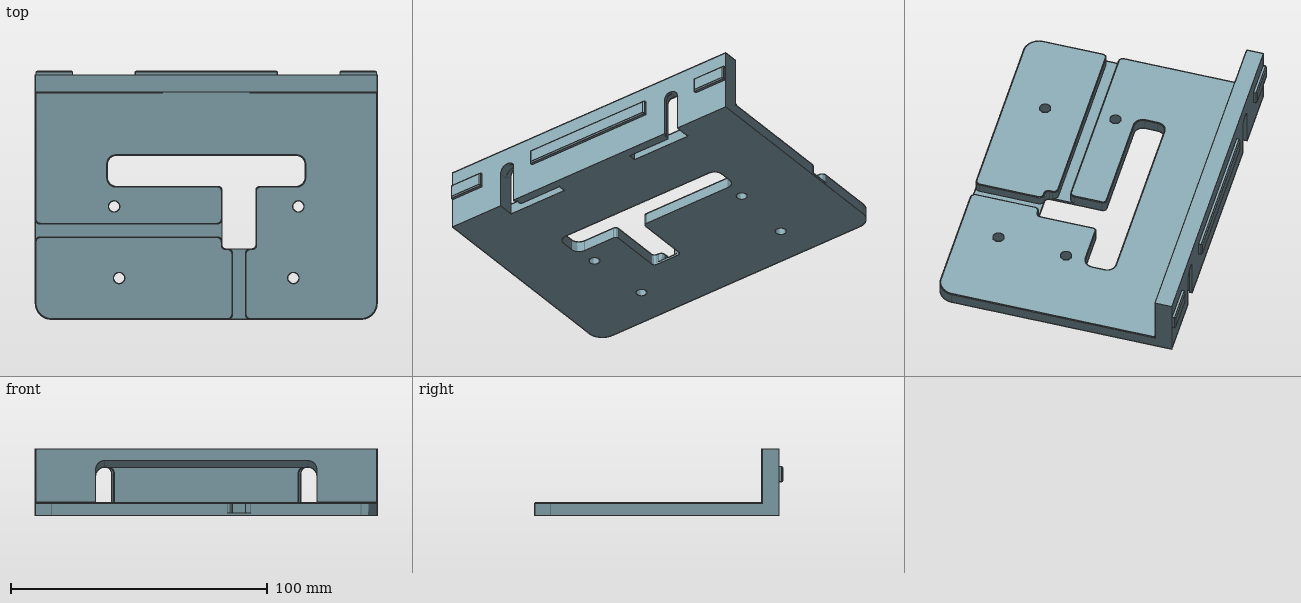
import cadquery as cq

width = 133.31
wall_back_y = 95.31
wall_thickness = 6.8
wall_height = 26.0
plate_thickness = 5.0
corner_radius = 6.3
edge_break = 0.3
wall_front_y = wall_back_y - wall_thickness

bar_length = 77.0
bar_front_y = 51.8
bar_back_y = 63.9
bar_corner_radius = 3.5
stem_x = 12.75
stem_width = 13.2
stem_front_y = 27.5
stem_corner_radius = 1.5

groove_width = 5.0
groove_floor_z = 1.0
groove_mouth_radius = 1.9
side_groove_y = 34.65

hole_diameter = 4.3
hole_positions = [(35.9, 44.0), (33.95, 16.1)]

pocket_width = 86.2
pocket_depth = 3.2
pocket_corner_radius = 3.5
slot_width = 6.2
slot_inner_radius = 2.5
slot_top_z = 18.8
ceiling_rise = 2.6
panel_thickness = 2.4
ledge_width = 0.8
panel_y = wall_front_y + pocket_depth
tab_width = 34.2

rail_height = 1.5
rail_bottom_z = 13.1
rail_top_z = 19.1
rail_chamfer = 0.5
center_rail_length = 55.5
end_rail_length = 14.3
end_rail_inset = 0.3


def box(x_range, y_range, z_range):
    """Axis-aligned block between the given limits."""
    (x0, x1), (y0, y1), (z0, z1) = x_range, y_range, z_range
    return cq.Workplane("XY").box(x1 - x0, y1 - y0, z1 - z0, centered=False).translate((x0, y0, z0))


def upright_edge_at(x, y):
    """Selector for the vertical plate edge standing at (x, y)."""
    reach = edge_break / 2
    return cq.selectors.BoxSelector((x - reach, y - reach, 0), (x + reach, y + reach, plate_thickness))


def window_cutter():
    """T-shaped opening; its inner corners, where the stem leaves the bar, are rounded too."""
    bar = box((-bar_length / 2, bar_length / 2), (bar_front_y, bar_back_y), (0, plate_thickness))
    bar = bar.edges("|Z").fillet(bar_corner_radius)
    stem_x_range = (stem_x - stem_width / 2, stem_x + stem_width / 2)
    stem = box(stem_x_range, (stem_front_y, bar_back_y - bar_corner_radius), (0, plate_thickness))
    stem = stem.edges("|Z and <Y").fillet(stem_corner_radius)
    window = bar.union(stem)
    for x in stem_x_range:
        window = window.edges(upright_edge_at(x, bar_front_y)).fillet(stem_corner_radius)
    return window


def plate():
    """Base plate split into lands by the window and grooves, with broken top edges.

    It reaches under the wall so that its broken back edge is buried there.
    """
    half_width = width / 2
    half_groove = groove_width / 2
    stem_left = stem_x - stem_width / 2
    side_groove_edges = (side_groove_y - half_groove, side_groove_y + half_groove)
    front_groove_edges = (stem_x - half_groove, stem_x + half_groove)

    outline = box((-half_width, half_width), (0, panel_y), (0, plate_thickness))
    outline = outline.edges("|Z and <Y").fillet(corner_radius).cut(window_cutter())
    groove_z = (groove_floor_z, plate_thickness)
    side_groove = box((-half_width, stem_left + stem_corner_radius), side_groove_edges, groove_z)
    front_groove = box(front_groove_edges, (0, stem_front_y + stem_corner_radius), groove_z)
    grooved = outline.cut(side_groove).cut(front_groove)

    mouth_corners = [(x, y) for x in (-half_width, stem_left) for y in side_groove_edges]
    mouth_corners += [(x, y) for x in front_groove_edges for y in (0, stem_front_y)]
    for x, y in mouth_corners:
        grooved = grooved.edges(upright_edge_at(x, y)).fillet(groove_mouth_radius)
    return grooved.faces(">Z").edges().chamfer(edge_break)


def wall():
    """Upright wall with its front side edges broken."""
    block = box((-width / 2, width / 2), (wall_front_y, wall_back_y), (0, wall_height))
    return block.edges("|Z and <Y").chamfer(edge_break)


def arch_wire(x0, x1, top_z, y, left_radius, right_radius):
    """Closed upright outline in the plane at y, standing on z = 0, with rounded top corners."""
    outline = cq.Workplane("XZ", origin=(0, y, 0)).moveTo(x0, 0).lineTo(x0, top_z - left_radius)
    outline = outline.radiusArc((x0 + left_radius, top_z), left_radius)
    outline = outline.lineTo(x1 - right_radius, top_z)
    outline = outline.radiusArc((x1, top_z - right_radius), right_radius)
    return outline.lineTo(x1, 0).close().val()


def wall_root():
    """Small sloped filler in the inside corner of plate and wall, on the -X side of the pocket."""
    return (
        cq.Workplane("YZ", origin=(-width / 2, 0, 0))
        .moveTo(wall_front_y - edge_break, plate_thickness)
        .lineTo(wall_front_y, plate_thickness + edge_break)
        .lineTo(wall_front_y, plate_thickness)
        .close()
        .extrude((width - pocket_width) / 2)
    )


def pocket_cutter():
    """Pocket in the wall front; its ceiling slopes down toward the panel."""
    half = pocket_width / 2
    radius = pocket_corner_radius
    front = arch_wire(-half, half, slot_top_z + ceiling_rise, wall_front_y, radius, radius)
    inward_slope = cq.Vector(0, pocket_depth, -ceiling_rise)
    pocket = cq.Workplane(cq.Solid.extrudeLinear(front, [], inward_slope))
    tab = box((-tab_width / 2, tab_width / 2), (wall_front_y, panel_y), (0, plate_thickness))
    return pocket.cut(tab)


def gap_edges():
    """Selector for the plate's top edges along the gap, on both sides of the tab."""
    half = pocket_width / 2 + edge_break / 2
    reach = edge_break / 2
    return cq.selectors.BoxSelector(
        (-half, wall_front_y - reach, plate_thickness - reach),
        (half, wall_front_y + reach, plate_thickness + reach),
    )


def slot_cutter():
    """Through slot at the -X end of the pocket.

    Behind the panel it is narrower, which leaves a ledge along the panel side;
    the front edge of the panel is broken.
    """
    outer_x = -pocket_width / 2
    throat_x = outer_x + slot_width
    mouth_x = throat_x + ledge_width

    def slot_outline(inner_x, y):
        return arch_wire(outer_x, inner_x, slot_top_z, y, pocket_corner_radius, slot_inner_radius)

    def passage(inner_x, y_start, y_end):
        outline = slot_outline(inner_x, y_start)
        return cq.Workplane(cq.Solid.extrudeLinear(outline, [], cq.Vector(0, y_end - y_start, 0)))

    lip_outlines = [
        slot_outline(mouth_x + edge_break, panel_y),
        slot_outline(mouth_x, panel_y + edge_break),
    ]
    lip = cq.Workplane(cq.Solid.makeLoft(lip_outlines, True))
    mouth = passage(mouth_x, panel_y, panel_y + panel_thickness)
    throat = passage(throat_x, panel_y, wall_back_y)
    return throat.union(mouth).union(lip)


def rail(x_start, x_end):
    """Rail segment on the wall back with all its outer edges chamfered."""
    y_range = (wall_back_y, wall_back_y + rail_height)
    block = box((x_start, x_end), y_range, (rail_bottom_z, rail_top_z))
    return block.faces(">Y").edges().chamfer(rail_chamfer)


def screw_holes():
    """Through holes in mirrored pairs."""
    points = [(side * x, y) for x, y in hole_positions for side in (-1, 1)]
    return cq.Workplane("XY").pushPoints(points).circle(hole_diameter / 2).extrude(plate_thickness)


result = plate().union(wall()).cut(pocket_cutter()).cut(screw_holes())
result = result.edges("|X").edges(gap_edges()).chamfer(edge_break)

left_root = wall_root()
result = result.union(left_root).union(left_root.mirror("YZ"))

left_slot = slot_cutter()
result = result.cut(left_slot).cut(left_slot.mirror("YZ"))

end_rail_outer_x = width / 2 - end_rail_inset
end_rail_inner_x = end_rail_outer_x - end_rail_length
rail_spans = [
    (-end_rail_outer_x, -end_rail_inner_x),
    (-center_rail_length / 2, center_rail_length / 2),
    (end_rail_inner_x, end_rail_outer_x),
]
for rail_start, rail_stop in rail_spans:
    result = result.union(rail(rail_start, rail_stop))